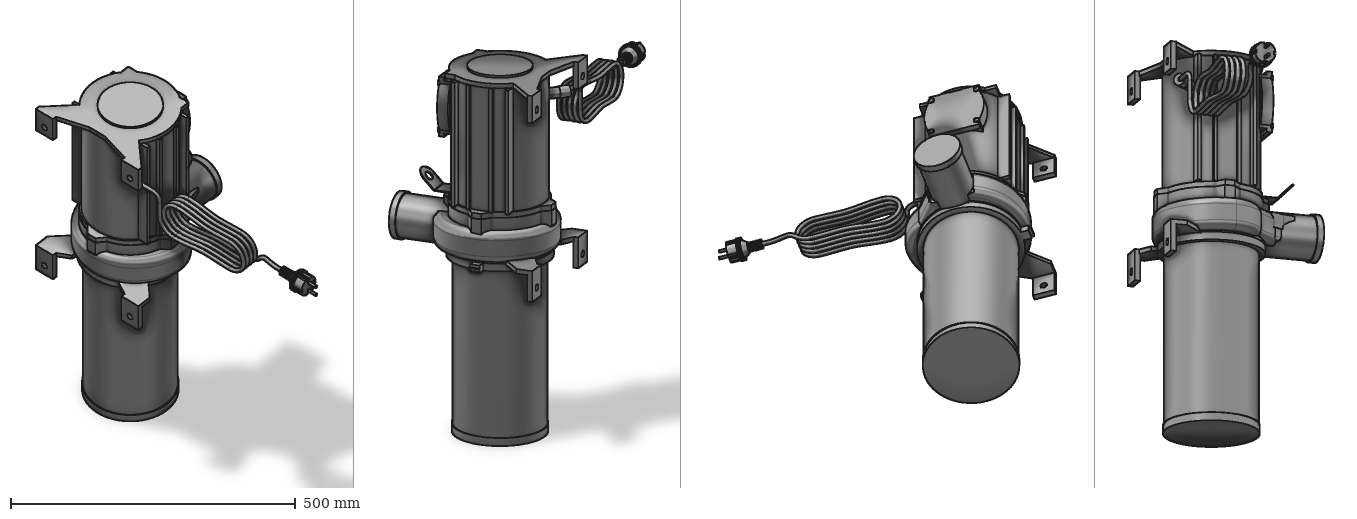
import cadquery as cq
import math


suction_flange_bottom = 328.0
suction_flange_top = 342.0
volute_bottom = 345.0
volute_mid = 374.0
volute_top = 403.0
cover_top = 426.0
motor_flange_top = 436.0
bracket_thickness = 8.5
top_plate_top = 675.0
top_plate_bottom = top_plate_top - bracket_thickness
lower_plate_top = 349.5
lower_plate_bottom = lower_plate_top - bracket_thickness
overall_height = 679.0

foot_half_span = 120.0
foot_width = 40.0
foot_inner_x = foot_half_span - foot_width
foot_front_y = -115.0
foot_inner_y = -106.5
foot_thickness = 10.0
foot_hole_diameter = 12.0
foot_hole_x = 100.0
upper_foot_bottom = 624.5
lower_foot_bottom = 292.0
upper_foot_hole_z = 643.0
lower_foot_hole_z = 313.0

lower_leg_start_y = -84.5
lower_leg_run = 60.0
lower_leg_root = (51.0, -75.0)
lower_leg_shoulder = (55.0, -93.0)

motor_radius = 86.5
fin_outer_x = 88.0
fin_outer_y = 55.0
fin_thickness = 6.5
rib_outer_x = 91.0
rib_y = 22.0
rib_width = 6.0
top_plate_radius = 90.0
ear_half_width = 70.5
ear_y = 75.0
top_plate_front_half_width = 18.0
top_plate_front_y = -88.6
lid_diameter = 115.53

flange_radius = 91.0
lobe_bottom = 396.0
lobe_tip_radius = 104.2
lobe_tip_half_width = 9.5
lobe_base_half_width = 23.0
lobe_root_fillet = 5.0
motor_flange_inset = 1.0

lug_width = 40.0
lug_thickness = 2.0
lug_bend_y = 118.0
lug_slope_length = 46.0
lug_angle = 45.0
lug_hole_diameter = 17.0

box_mid_z = 603.0
box_height = 98.0
box_rim_height = 111.0
box_rim_depth = 9.5
box_half_width = 46.0
box_side_height = 86.0
box_side_bulge = 9.0
box_back_y = 97.0
box_depth = 40.0
box_side_depth = 21.0
box_screw_diameter = 10.46
box_screw_x = 42.0
box_screw_offset_z = 43.5
box_screw_head = 2.0

volute_radius = 112.4
volute_x = 4.3
volute_y = 7.5
volute_rounding = 14.0
discharge_diameter = 80.0
discharge_end_y = 195.0
discharge_bead_diameter = 85.59
discharge_bead_length = 12.0
tongue_start = (75.0, 67.0)
tongue_bulge = (105.0, 42.0)
tongue_end = (45.0, 103.0)
throat_y = 116.0
volute_back_y = 105.5
tongue_rib_top = 401.0
tongue_rib_outline = [
    (28.0, 95.0),
    (28.0, 120.0),
    (31.0, 143.0),
    (35.0, 143.0),
    (39.5, 120.0),
    (50.0, 95.0),
]

suction_radius = 83.8
suction_bead_radius = 85.2
suction_bead_height = 15.0
suction_flange_radius = 95.0
clasp_width = 19.0
clasp_block_x = -109.0
clasp_tongue_x = -114.0
clasp_tongue_bottom = 331.5
clasp_tongue_height = 4.5

gland_end = (94.0, -91.0)
gland_z = 614.0
gland_length = 52.0
gland_collar_length = 32.0
gland_collar_diameter = 20.0
gland_nut_diameter = 21.52
cable_diameter = 7.57
cable_y = -89.0
lead_bend_radius = 16.0
loop_left_x = 147.2
loop_right_x = 338.5
loop_mid_z = 564.3
loop_radius = 32.0
loop_sag = 4.5
loop_pitch = 10.3
loop_count = 4
coil_exit_x = 346.0
coil_exit_z = 553.5
plug_x = 404.0
plug_y = -55.0
plug_z = 565.5
plug_tail = 9.0
sleeve_end_x = 429.0
sleeve_diameter = 12.0
sleeve_ring_diameter = 17.0
sleeve_ring_count = 4
sleeve_ring_width = 3.5
cone_end_x = 439.0
cone_start_diameter = 20.0
cone_end_diameter = 34.0
grip_end_x = 446.5
grip_diameter = 41.5
grip_groove_count = 24
grip_groove_width = 2.0
grip_groove_depth = 0.8
plug_body_end_x = 465.0
plug_body_diameter = 38.0
plug_body_flat_height = 34.5
key_groove_count = 4
key_groove_width = 4.5
key_groove_depth = 1.5
pin_diameter = 5.0
pin_spacing = 19.0
pin_end_x = 483.16


def cylinder(radius, bottom, top):
    return cq.Workplane("XY").workplane(offset=bottom).circle(radius).extrude(top - bottom)


def block(x_range, y_range, z_range):
    """Box between two limits on each axis."""
    corner = (x_range[0], y_range[0], z_range[0])
    return cq.Workplane("XY").box(
        x_range[1] - x_range[0],
        y_range[1] - y_range[0],
        z_range[1] - z_range[0],
        centered=False,
    ).translate(corner)


def plate(points, bottom, top):
    return cq.Workplane("XY").workplane(offset=bottom).polyline(points).close().extrude(top - bottom)


def with_mirror(shape):
    """The shape joined with its mirror image across the YZ plane."""
    return shape.union(shape.mirror("YZ"))


def foot(bottom, top, hole_z):
    """Upright wall tab on the +X side with its bolt hole."""
    tab = block((foot_inner_x, foot_half_span), (foot_front_y, foot_front_y + foot_thickness), (bottom, top))
    hole = (
        cq.Workplane("XZ", origin=(foot_hole_x, foot_front_y + foot_thickness, hole_z))
        .circle(foot_hole_diameter / 2)
        .extrude(foot_thickness)
    )
    return tab.cut(hole)


def lobed_flange(bottom, top, inset):
    """Round flange with four bolt lobes."""
    body = cylinder(flange_radius - inset, bottom, top)
    tip = lobe_tip_radius - inset
    tip_half = lobe_tip_half_width - inset / 2
    base_half = lobe_base_half_width - inset / 2
    base_y = math.sqrt((flange_radius - inset) ** 2 - base_half**2)
    shoulder_y = math.sqrt(tip**2 - tip_half**2)
    lobe = (
        cq.Workplane("XY")
        .workplane(offset=bottom)
        .moveTo(-base_half, base_y)
        .lineTo(-tip_half, shoulder_y)
        .threePointArc((0, tip), (tip_half, shoulder_y))
        .lineTo(base_half, base_y)
        .lineTo(0, 0)
        .close()
        .extrude(top - bottom)
    )
    for quarter in range(4):
        body = body.union(lobe.rotate((0, 0, 0), (0, 0, 1), 90 * quarter))
    root_reach = (flange_radius + lobe_tip_radius) / 2
    roots = body.edges("|Z").filter(lambda edge: math.hypot(edge.Center().x, edge.Center().y) < root_reach)
    return roots.fillet(lobe_root_fillet)


def motor_housing():
    span = (motor_flange_top, top_plate_bottom)
    fins = None
    for side in (-1, 1):
        y_edges = sorted((side * fin_outer_y, side * (fin_outer_y - fin_thickness)))
        fin = block((0, fin_outer_x), y_edges, span)
        rib = block((0, rib_outer_x), (side * rib_y - rib_width / 2, side * rib_y + rib_width / 2), span)
        pair = fin.union(rib)
        fins = pair if fins is None else fins.union(pair)
    return cylinder(motor_radius, *span).union(with_mirror(fins))


def top_bracket():
    leg_run = foot_half_span - ear_half_width
    ear_outline = [
        (0, ear_y),
        (ear_half_width, ear_y),
        (ear_half_width, fin_outer_y),
        (0, fin_outer_y),
    ]
    leg_outline = [
        (0, 0),
        (ear_half_width, foot_inner_y + leg_run),
        (foot_half_span, foot_inner_y),
        (foot_half_span, foot_front_y),
        (foot_inner_x, foot_front_y),
        (foot_inner_x, foot_inner_y),
        (top_plate_front_half_width, top_plate_front_y),
        (0, top_plate_front_y),
    ]
    legs = plate(leg_outline, top_plate_bottom, top_plate_top)
    ears = plate(ear_outline, top_plate_bottom, top_plate_top)
    half = legs.union(ears).union(foot(upper_foot_bottom, top_plate_top, upper_foot_hole_z))
    disc = cylinder(top_plate_radius, top_plate_bottom, top_plate_top)
    trim = block(
        (-foot_half_span, foot_half_span),
        (foot_front_y, top_plate_front_y),
        (top_plate_bottom, top_plate_top),
    )
    return disc.cut(trim).union(with_mirror(half))


def terminal_box():
    plane = cq.Workplane("XZ", origin=(0, box_back_y, box_mid_z))
    panel = plane.rect(2 * box_half_width, box_height).extrude(box_depth)
    rim = plane.rect(2 * box_half_width, box_rim_height).extrude(box_rim_depth)
    half_side = box_side_height / 2
    bulge_x = box_half_width + box_side_bulge
    sides = (
        plane.moveTo(-box_half_width, -half_side)
        .threePointArc((-bulge_x, 0), (-box_half_width, half_side))
        .lineTo(box_half_width, half_side)
        .threePointArc((bulge_x, 0), (box_half_width, -half_side))
        .close()
        .extrude(box_side_depth)
    )
    screws = (
        cq.Workplane("XZ", origin=(0, box_back_y + box_screw_head, box_mid_z))
        .rect(2 * box_screw_x, 2 * box_screw_offset_z, forConstruction=True)
        .vertices()
        .circle(box_screw_diameter / 2)
        .extrude(2 * box_screw_head)
    )
    return panel.union(rim).union(sides).union(screws)


def lifting_lug():
    """Flat strip on the flange, bent upwards towards its rounded eye."""
    flat = block(
        (-lug_width / 2, lug_width / 2),
        (motor_radius - lug_width / 2, lug_bend_y),
        (motor_flange_top - lug_thickness / 2, motor_flange_top + lug_thickness / 2),
    )
    eye_y = lug_slope_length - lug_width / 2
    slope = (
        cq.Workplane("XY")
        .moveTo(-lug_width / 2, 0)
        .lineTo(-lug_width / 2, eye_y)
        .threePointArc((0, lug_slope_length), (lug_width / 2, eye_y))
        .lineTo(lug_width / 2, 0)
        .close()
        .extrude(lug_thickness / 2, both=True)
    )
    hole = (
        cq.Workplane("XY")
        .center(0, eye_y)
        .circle(lug_hole_diameter / 2)
        .extrude(lug_thickness, both=True)
    )
    slope = slope.cut(hole).rotate((0, 0, 0), (1, 0, 0), lug_angle)
    return flat.union(slope.translate((0, lug_bend_y, motor_flange_top)))


motor = (
    motor_housing()
    .union(top_bracket())
    .union(cylinder(lid_diameter / 2, top_plate_top, overall_height))
    .union(lobed_flange(cover_top, motor_flange_top, motor_flange_inset))
    .union(terminal_box())
    .union(lifting_lug())
)


def volute():
    throat_x = -discharge_diameter / 2
    throat_join_y = volute_y + math.sqrt(volute_radius**2 - (throat_x - volute_x) ** 2)
    body = (
        cq.Workplane("XY")
        .workplane(offset=volute_bottom)
        .moveTo(throat_x, throat_join_y)
        .threePointArc((volute_x, volute_y - volute_radius), (volute_x + volute_radius, volute_y))
        .threePointArc(tongue_bulge, tongue_start)
        .lineTo(*tongue_end)
        .lineTo(-throat_x, throat_y)
        .lineTo(throat_x, throat_y)
        .close()
        .extrude(volute_top - volute_bottom)
    )
    rounded = body.faces("<Z or >Z").edges().fillet(volute_rounding)
    beyond_back = block((throat_x, -throat_x), (volute_back_y, throat_y), (volute_bottom, volute_top))
    return rounded.cut(beyond_back)


def discharge_pipe():
    plane = cq.Workplane("XZ", origin=(0, discharge_end_y, volute_mid))
    pipe = plane.circle(discharge_diameter / 2).extrude(discharge_end_y - volute_y)
    return pipe.union(plane.circle(discharge_bead_diameter / 2).extrude(discharge_bead_length))


def tongue_rib():
    """Tapered web that ties the volute tongue to the discharge pipe."""
    return plate(tongue_rib_outline, volute_mid, tongue_rib_top)


def lower_bracket():
    outline = [
        (foot_half_span, foot_front_y),
        (foot_half_span, lower_leg_start_y),
        (foot_half_span - lower_leg_run, lower_leg_start_y + lower_leg_run),
        lower_leg_root,
        lower_leg_shoulder,
        (foot_inner_x, foot_inner_y),
        (foot_inner_x, foot_front_y),
    ]
    wing = plate(outline, lower_plate_bottom, lower_plate_top)
    return with_mirror(wing.union(foot(lower_foot_bottom, lower_plate_top, lower_foot_hole_z)))


pump_housing = (
    volute()
    .union(lobed_flange(lobe_bottom, cover_top, 0))
    .union(cylinder(flange_radius, volute_mid, lobe_bottom))
    .union(tongue_rib())
    .union(discharge_pipe())
    .union(lower_bracket())
    .union(cylinder(suction_flange_radius, suction_flange_top, volute_mid))
)


def flange_clasp():
    half = clasp_width / 2
    base = block(
        (clasp_block_x, -suction_radius), (-half, half), (suction_flange_bottom, suction_flange_top)
    )
    tongue = block(
        (clasp_tongue_x, clasp_block_x),
        (-half, half),
        (clasp_tongue_bottom, clasp_tongue_bottom + clasp_tongue_height),
    )
    return base.union(tongue)


suction_tube = (
    cylinder(suction_radius, 0, suction_flange_bottom)
    .union(cylinder(suction_bead_radius, 0, suction_bead_height))
    .union(cylinder(suction_flange_radius, suction_flange_bottom, suction_flange_top))
    .union(flange_clasp())
    .cut(pump_housing)
)


def cable_gland():
    """Gland pointing out of the motor halfway between +X and -Y."""
    outward = cq.Vector(1, -1, 0).normalized()
    tip = cq.Vector(gland_end[0], gland_end[1], gland_z)
    start = tip - outward * gland_length
    collar = cq.Solid.makeCylinder(gland_collar_diameter / 2, gland_collar_length, start, outward)
    nut_start = start + outward * gland_collar_length
    nut_length = gland_length - gland_collar_length
    nut = cq.Solid.makeCylinder(gland_nut_diameter / 2, nut_length, nut_start, outward)
    return cq.Workplane(collar.fuse(nut)).cut(motor)


def half_turn(center_x, y, side):
    """Upright half circle at one end of the coil; side is -1 at the left and 1 at the right."""
    top = cq.Vector(center_x, y, loop_mid_z + loop_radius)
    middle = cq.Vector(center_x + side * loop_radius, y, loop_mid_z)
    bottom = cq.Vector(center_x, y, loop_mid_z - loop_radius)
    ends = (top, bottom) if side < 0 else (bottom, top)
    return cq.Edge.makeThreePointArc(ends[0], middle, ends[1])


def coil_run(x_start, x_end, y_start, side):
    """Long run of the coil, bowed inwards; side is -1 for the lower run and 1 for the upper one."""
    z = loop_mid_z + side * loop_radius
    y_end = y_start + loop_pitch / 2
    along = cq.Vector(-side, 0, 0)
    points = [
        cq.Vector(x_start, y_start, z),
        cq.Vector((x_start + x_end) / 2, (y_start + y_end) / 2, z - side * loop_sag),
        cq.Vector(x_end, y_end, z),
    ]
    return cq.Edge.makeSpline(points, tangents=[along, along])


def cable_path():
    left_x = loop_left_x + loop_radius
    right_x = loop_right_x - loop_radius
    lead_x = loop_left_x - lead_bend_radius
    lead_bottom = gland_z - lead_bend_radius
    diagonal = math.sqrt(0.5)
    y = cable_y
    lead_root = cq.Vector(gland_end[0], y, gland_z)
    lead_start = cq.Vector(lead_x, y, gland_z)
    bend_end = cq.Vector(loop_left_x, y, lead_bottom)
    bend_middle = cq.Vector(
        lead_x + lead_bend_radius * diagonal, y, lead_bottom + lead_bend_radius * diagonal
    )
    loop_start = cq.Vector(loop_left_x, y, loop_mid_z)
    quarter_middle = cq.Vector(
        left_x - loop_radius * diagonal, y, loop_mid_z - loop_radius * diagonal
    )
    edges = [
        cq.Edge.makeLine(lead_root, lead_start),
        cq.Edge.makeThreePointArc(lead_start, bend_middle, bend_end),
        cq.Edge.makeLine(bend_end, loop_start),
        cq.Edge.makeThreePointArc(
            loop_start, quarter_middle, cq.Vector(left_x, y, loop_mid_z - loop_radius)
        ),
    ]
    for _ in range(loop_count):
        edges.append(coil_run(left_x, right_x, y, -1))
        y += loop_pitch / 2
        edges.append(half_turn(right_x, y, 1))
        edges.append(coil_run(right_x, left_x, y, 1))
        y += loop_pitch / 2
        edges.append(half_turn(left_x, y, -1))
    edges.append(coil_run(left_x, right_x, y, -1))
    y += loop_pitch / 2
    coil_end = cq.Vector(right_x, y, loop_mid_z - loop_radius)
    plug_entry = cq.Vector(plug_x - plug_tail, plug_y, plug_z)
    rise = cq.Vector(coil_exit_x, y, coil_exit_z)
    along_x = cq.Vector(1, 0, 0)
    edges.append(cq.Edge.makeSpline([coil_end, rise, plug_entry], tangents=[along_x, along_x]))
    edges.append(cq.Edge.makeLine(plug_entry, cq.Vector(plug_x, plug_y, plug_z)))
    return cq.Wire.assembleEdges(edges)


def cable():
    path = cable_path()
    profile = cq.Workplane(cq.Plane(path.startPoint(), normal=path.tangentAt(0)))
    return profile.circle(cable_diameter / 2).sweep(cq.Workplane(path))


def along_plug(diameter, x_start, x_end, z=plug_z):
    return (
        cq.Workplane("YZ", origin=(x_start, plug_y, z)).circle(diameter / 2).extrude(x_end - x_start)
    )


def radial_grooves(body, x_range, width, floor_radius, count):
    """Cut equally spaced lengthwise grooves into the rim of a plug section."""
    groove = block(
        x_range,
        (plug_y - width / 2, plug_y + width / 2),
        (plug_z + floor_radius, plug_z + grip_diameter),
    )
    axis_end = (plug_x + 1, plug_y, plug_z)
    for index in range(count):
        turned = groove.rotate((plug_x, plug_y, plug_z), axis_end, 360 * index / count)
        body = body.cut(turned)
    return body


def plug_grip():
    rim = along_plug(grip_diameter, cone_end_x, grip_end_x)
    floor = grip_diameter / 2 - grip_groove_depth
    return radial_grooves(rim, (cone_end_x, grip_end_x), grip_groove_width, floor, grip_groove_count)


def plug_face():
    """Round nose flattened above and below, with a key groove on each of its four sides."""
    half_flat = plug_body_flat_height / 2
    half_width = plug_body_diameter / 2
    envelope = block(
        (grip_end_x, plug_body_end_x),
        (plug_y - half_width, plug_y + half_width),
        (plug_z - half_flat, plug_z + half_flat),
    )
    nose = along_plug(plug_body_diameter, grip_end_x, plug_body_end_x).intersect(envelope)
    floor = half_flat - key_groove_depth
    length = (grip_end_x, plug_body_end_x)
    return radial_grooves(nose, length, key_groove_width, floor, key_groove_count)


def plug():
    body = along_plug(sleeve_diameter, plug_x, sleeve_end_x)
    ring_pitch = (sleeve_end_x - plug_x) / sleeve_ring_count
    for index in range(sleeve_ring_count):
        ring_x = plug_x + index * ring_pitch
        body = body.union(along_plug(sleeve_ring_diameter, ring_x, ring_x + sleeve_ring_width))
    cone = cq.Solid.makeCone(
        cone_start_diameter / 2,
        cone_end_diameter / 2,
        cone_end_x - sleeve_end_x,
        cq.Vector(sleeve_end_x, plug_y, plug_z),
        cq.Vector(1, 0, 0),
    )
    body = body.union(cq.Workplane(cone))
    body = body.union(plug_grip()).union(plug_face())
    for side in (-1, 1):
        pin_z = plug_z + side * pin_spacing / 2
        body = body.union(along_plug(pin_diameter, plug_body_end_x, pin_end_x, pin_z))
    return body


power_cable = cable().union(cable_gland()).union(plug())

result = cq.Compound.makeCompound(
    [body.solids().val() for body in (motor, pump_housing, suction_tube, power_cable)]
)